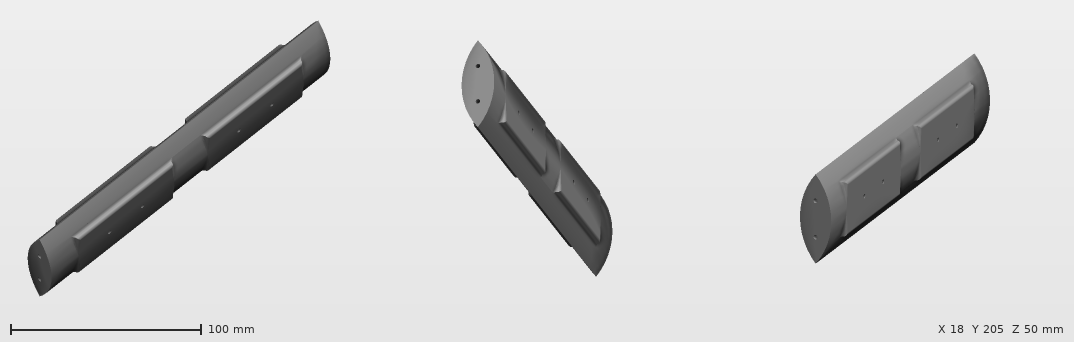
import cadquery as cq
import math

length = 205.0
width = 18.0
height = 50.0
half_length = length / 2
half_width = width / 2
half_height = height / 2
lens_radius = (half_height**2 + half_width**2) / width
lens_axis = lens_radius - half_width

pad_centre = 47.5
half_pad_length = 35.3
half_pad_height = 15.2
side_radius = 1.75
end_radius = 1.95
pad_section_count = 5
min_step = 0.02

hole_diameter = 2.5
cross_hole_spacing = 24.2
end_hole_spacing = 20.3
end_hole_depth = 10.2


def lens_x(z):
    """Half thickness of the bar at height z."""
    return math.sqrt(lens_radius**2 - z**2) - lens_axis


def make_bar():
    """The +X +Y +Z eighth of the bar."""
    outline = (
        cq.Workplane("XZ")
        .lineTo(half_width, 0)
        .threePointArc((lens_x(half_height / 2), half_height / 2), (0, half_height))
        .close()
    )
    return outline.extrude(-half_length)


root_z = half_pad_height + side_radius
root_x = math.sqrt((lens_radius + side_radius) ** 2 - root_z**2) - lens_axis
foot_z = root_z * lens_radius / (lens_radius + side_radius)
foot_x = lens_x(foot_z)


def make_side_profile():
    """Upper +X quarter of the pad, rounded along its long edge, as a long bar."""
    diagonal = side_radius * math.sqrt(0.5)
    round_x = half_width - side_radius
    round_z = half_pad_height - side_radius
    foot_angle = (math.atan2(foot_z - root_z, foot_x - root_x) - math.pi / 2) / 2
    root_mid = (root_x + side_radius * math.cos(foot_angle), root_z + side_radius * math.sin(foot_angle))
    outline = (
        cq.Workplane("XZ")
        .lineTo(half_width, 0)
        .lineTo(half_width, round_z)
        .threePointArc((round_x + diagonal, round_z + diagonal), (round_x, half_pad_height))
        .lineTo(root_x, half_pad_height)
        .threePointArc(root_mid, (foot_x, foot_z))
        .lineTo(0, foot_z)
        .close()
    )
    return outline.extrude(-half_length)


def end_section(z):
    """Closed pad section at height z; each end is an S of two equal arcs down to the bar."""
    step = max(half_width - lens_x(z), min_step)
    sweep = math.acos(1 - step / (2 * end_radius))
    reach = end_radius * math.sin(sweep)
    mid_reach = end_radius * (math.sin(sweep) - math.sin(sweep / 2))
    mid_drop = end_radius * (1 - math.cos(sweep / 2))
    top = half_width
    foot = half_width - step
    middle = half_width - step / 2
    wall = half_pad_length
    outline = (
        cq.Workplane("XY", origin=(0, pad_centre, z))
        .moveTo(0, -wall - reach)
        .lineTo(foot, -wall - reach)
        .threePointArc((foot + mid_drop, -wall - mid_reach), (middle, -wall))
        .threePointArc((top - mid_drop, -wall + mid_reach), (top, -wall + reach))
        .lineTo(top, wall - reach)
        .threePointArc((top - mid_drop, wall - mid_reach), (middle, wall))
        .threePointArc((foot + mid_drop, wall + mid_reach), (foot, wall + reach))
        .lineTo(0, wall + reach)
        .close()
    )
    return outline.val()


def make_pad():
    """Upper half of the pad on the +X +Y side."""
    gap = foot_z / (pad_section_count - 1)
    sections = [end_section(i * gap) for i in range(pad_section_count)]
    blend = cq.Workplane(cq.Solid.makeLoft(sections))
    return make_side_profile().intersect(blend)


def make_cross_holes():
    """Through holes along X, two in each pad."""
    half_spacing = cross_hole_spacing / 2
    pad_places = (-pad_centre, pad_centre)
    places = [(y + offset, 0) for y in pad_places for offset in (-half_spacing, half_spacing)]
    plane = cq.Workplane("YZ", origin=(-half_width, 0, 0))
    return plane.pushPoints(places).circle(hole_diameter / 2).extrude(width)


def make_end_holes():
    """Two blind holes in the -Y end face."""
    places = [(0, -end_hole_spacing / 2), (0, end_hole_spacing / 2)]
    plane = cq.Workplane("XZ", origin=(0, -half_length, 0))
    return plane.pushPoints(places).circle(hole_diameter / 2).extrude(-end_hole_depth)


body = make_bar().union(make_pad())
for middle_plane in ("XY", "YZ", "XZ"):
    body = body.union(body.mirror(middle_plane))

end_holes = make_end_holes()
result = body.cut(make_cross_holes()).cut(end_holes).cut(end_holes.mirror("XZ"))